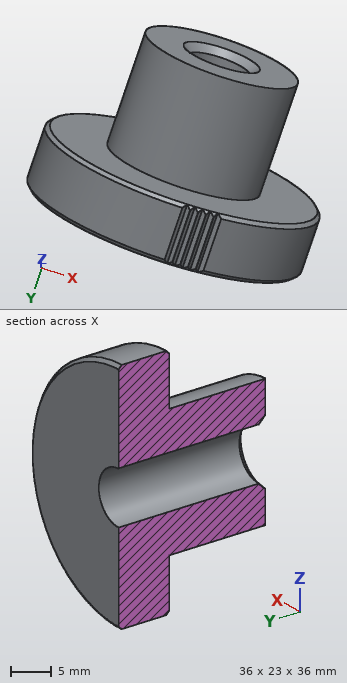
import cadquery as cq
import math

flange_diameter = 36
flange_thickness = 8.0
flange_chamfer = 0.5
hub_diameter = 20.0
hub_length = 15.0
bore_diameter = 8.0
bore_chamfer = 1.0

groove_count = 5
groove_pitch_angle = 3.3
first_groove_angle = 1.6
groove_depth = 0.5
groove_included_angle = 90
groove_overshoot = 0.35

flange_radius = flange_diameter / 2
total_length = hub_length + flange_thickness


def turned_body():
    """Hub and flange revolved about Y, with the chamfered bore in the profile."""
    hub_radius = hub_diameter / 2
    bore_radius = bore_diameter / 2
    profile = [
        (bore_radius + bore_chamfer, 0),
        (hub_radius, 0),
        (hub_radius, hub_length),
        (flange_radius - flange_chamfer, hub_length),
        (flange_radius, hub_length + flange_chamfer),
        (flange_radius, total_length - flange_chamfer),
        (flange_radius - flange_chamfer, total_length),
        (bore_radius, total_length),
        (bore_radius, bore_chamfer),
    ]
    return cq.Workplane("XY").polyline(profile).close().revolve(360, (0, 0, 0), (0, 1, 0))


def rim_groove(angle):
    """V cutter across the flange rim, turned from -Z towards +X by angle degrees."""
    height = groove_depth + groove_overshoot
    half_width = height * math.tan(math.radians(groove_included_angle / 2))
    root_z = groove_depth - flange_radius
    mouth_z = root_z - height
    cutter = (
        cq.Workplane("XZ", origin=(0, total_length, 0))
        .polyline([(0, root_z), (-half_width, mouth_z), (half_width, mouth_z)])
        .close()
        .extrude(flange_thickness)
    )
    return cutter.rotate((0, 0, 0), (0, 1, 0), -angle)


result = turned_body()
for groove in range(groove_count):
    result = result.cut(rim_groove(first_groove_angle + groove * groove_pitch_angle))